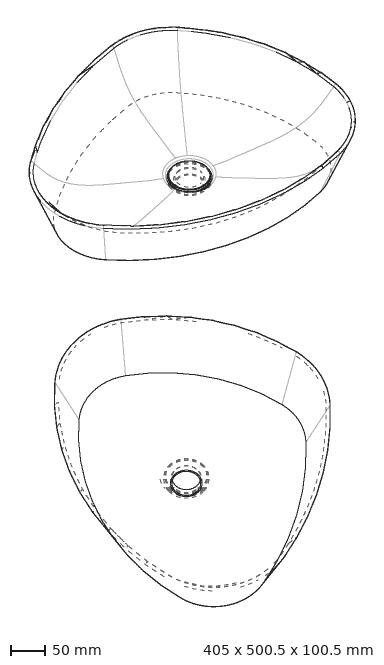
import cadquery as cq
import math

HEIGHT = 100.5
DRAFT = 20.0
CORNER_RADIUS = 119.5
BACK_CORNER = (24.0, 125.5)
LEFT_CORNER = (-111.0, 26.0)
FRONT_CORNER = (16.5, -136.0)
CORNERS = (BACK_CORNER, LEFT_CORNER, FRONT_CORNER)
SIDE_RADII = (331.5, 486.5, 384.0)
RIM_WIDTH = 6.0
RIM_RADIUS = RIM_WIDTH / 2
WALL_HEIGHT = HEIGHT - RIM_RADIUS

FLOOR_HEIGHT = 22.0
BOWL_LEVELS = ((0.3, 23.5), (0.4, 26.0), (0.55, 30.0), (0.75, 42.0), (0.9, 67.5), (1.0, WALL_HEIGHT))

OPENING_RADIUS = 78.0 / 2
THROAT_RADIUS = 70.0 / 2
THROAT_HEIGHT = 19.5

FLANGE_RADIUS = 66.0 / 2
FLANGE_TOP = 15.5
FLANGE_THICKNESS = 4.5
TUBE_RADIUS = 46.0 / 2
TUBE_BORE_RADIUS = 42.0 / 2
FLANGE_BOTTOM = FLANGE_TOP - FLANGE_THICKNESS

DOME_EDGE_RADIUS = 60.0 / 2
PLUG_CHAMFER = 1.0
PLUG_RADIUS = DOME_EDGE_RADIUS + PLUG_CHAMFER
PLUG_EDGE_HEIGHT = 4.5
PLUG_DOME_RISE = 5.0


def polar(centre, radius, angle):
    return (centre[0] + radius * math.cos(angle), centre[1] + radius * math.sin(angle))


def direction(start, end):
    return math.atan2(end[1] - start[1], end[0] - start[0])


def side_centre(start, end, reach):
    """Centre at distance `reach` from two corner centres, on the inner side of their chord."""
    dx = end[0] - start[0]
    dy = end[1] - start[1]
    chord = math.hypot(dx, dy)
    rise = math.sqrt(reach**2 - (chord / 2) ** 2)
    return (
        (start[0] + end[0]) / 2 - rise * dy / chord,
        (start[1] + end[1]) / 2 + rise * dx / chord,
    )


def arc_edge(centre, radius, start_angle, end_angle, z):
    sweep = (end_angle - start_angle) % (2 * math.pi)
    angles = (start_angle, start_angle + sweep / 2, start_angle + sweep)
    points = [cq.Vector(*polar(centre, radius, angle), z) for angle in angles]
    return cq.Edge.makeThreePointArc(*points)


def outline_arcs(inset):
    """The six tangent arcs (centre, radius, start angle, end angle) of the rim, moved inward."""
    count = len(CORNERS)
    sides = [
        side_centre(CORNERS[i], CORNERS[(i + 1) % count], SIDE_RADII[i] - CORNER_RADIUS)
        for i in range(count)
    ]
    arcs = []
    for i in range(count):
        arrive = direction(sides[i - 1], CORNERS[i])
        leave = direction(sides[i], CORNERS[i])
        side_end = direction(sides[i], CORNERS[(i + 1) % count])
        arcs.append((CORNERS[i], CORNER_RADIUS - inset, arrive, leave))
        arcs.append((sides[i], SIDE_RADII[i] - inset, leave, side_end))
    return arcs


def outline(z, inset=0.0, scale=1.0):
    """Closed outline at height z, moved inward by `inset`, then scaled about the drain axis."""
    edges = []
    for centre, radius, start, end in outline_arcs(inset):
        scaled_centre = (scale * centre[0], scale * centre[1])
        edges.append(arc_edge(scaled_centre, scale * radius, start, end, z))
    return cq.Wire.assembleEdges(edges)


def opening_circle():
    """Edge of the drain opening, divided in line with the joints between the rim arcs."""
    axis = (0, 0)
    edges = []
    for centre, radius, start, end in outline_arcs(RIM_WIDTH):
        start_angle = direction(axis, polar(centre, radius, start))
        end_angle = direction(axis, polar(centre, radius, end))
        edges.append(arc_edge(axis, OPENING_RADIUS, start_angle, end_angle, FLOOR_HEIGHT))
    return cq.Wire.assembleEdges(edges)


def make_shell():
    base_inset = WALL_HEIGHT * math.tan(math.radians(DRAFT))
    return cq.Workplane(cq.Solid.makeLoft([outline(0, base_inset), outline(WALL_HEIGHT)], True))


def make_bowl_space():
    levels = [outline(z, RIM_WIDTH, scale) for scale, z in BOWL_LEVELS]
    return cq.Workplane(cq.Solid.makeLoft([opening_circle(), *levels]))


def make_rim():
    """Half-round bead along the top of the wall."""
    path = outline(WALL_HEIGHT, RIM_RADIUS)
    centre, radius, start, _ = outline_arcs(RIM_RADIUS)[0]
    start_point = cq.Vector(*polar(centre, radius, start), WALL_HEIGHT)
    outward = cq.Vector(math.cos(start), math.sin(start), 0)
    along = cq.Vector(-math.sin(start), math.cos(start), 0)
    section_plane = cq.Plane(origin=start_point, xDir=outward, normal=-along)
    return (
        cq.Workplane(section_plane)
        .moveTo(-RIM_RADIUS, 0)
        .threePointArc((0, RIM_RADIUS), (RIM_RADIUS, 0))
        .close()
        .sweep(cq.Workplane(path))
    )


def make_drain_space():
    """Rounded edge, tapered throat, flange seat and tube hole, revolved about the drain axis."""
    return (
        cq.Workplane("XZ")
        .moveTo(0, 0)
        .lineTo(TUBE_RADIUS, 0)
        .lineTo(TUBE_RADIUS, FLANGE_BOTTOM)
        .lineTo(FLANGE_RADIUS, FLANGE_BOTTOM)
        .lineTo(FLANGE_RADIUS, FLANGE_TOP)
        .lineTo(THROAT_RADIUS, THROAT_HEIGHT)
        .tangentArcPoint((OPENING_RADIUS, FLOOR_HEIGHT), relative=False)
        .lineTo(0, FLOOR_HEIGHT)
        .close()
        .revolve(360, (0, 0, 0), (0, 1, 0))
    )


def make_basin():
    wall = make_shell().cut(make_bowl_space()).cut(make_drain_space())
    return wall.union(make_rim())


def make_drain():
    flange = cq.Workplane().workplane(offset=FLANGE_BOTTOM).circle(FLANGE_RADIUS).extrude(FLANGE_THICKNESS)
    tube = cq.Workplane().circle(TUBE_RADIUS).extrude(FLANGE_TOP)
    bore = cq.Workplane().circle(TUBE_BORE_RADIUS).extrude(FLANGE_TOP)
    return flange.union(tube).cut(bore)


def make_plug():
    edge_top = FLANGE_TOP + PLUG_EDGE_HEIGHT
    apex = edge_top + PLUG_DOME_RISE
    dome_radius = (DOME_EDGE_RADIUS**2 + PLUG_DOME_RISE**2) / (2 * PLUG_DOME_RISE)
    half_radius = DOME_EDGE_RADIUS / 2
    half_height = apex - dome_radius + math.sqrt(dome_radius**2 - half_radius**2)
    return (
        cq.Workplane("XZ")
        .moveTo(0, FLANGE_TOP)
        .lineTo(PLUG_RADIUS, FLANGE_TOP)
        .lineTo(PLUG_RADIUS, edge_top - PLUG_CHAMFER)
        .lineTo(DOME_EDGE_RADIUS, edge_top)
        .threePointArc((half_radius, half_height), (0, apex))
        .close()
        .revolve(360, (0, 0, 0), (0, 1, 0))
    )


basin = make_basin()
drain = make_drain()
plug = make_plug()

result = cq.Compound.makeCompound([basin.val(), drain.val(), plug.val()])